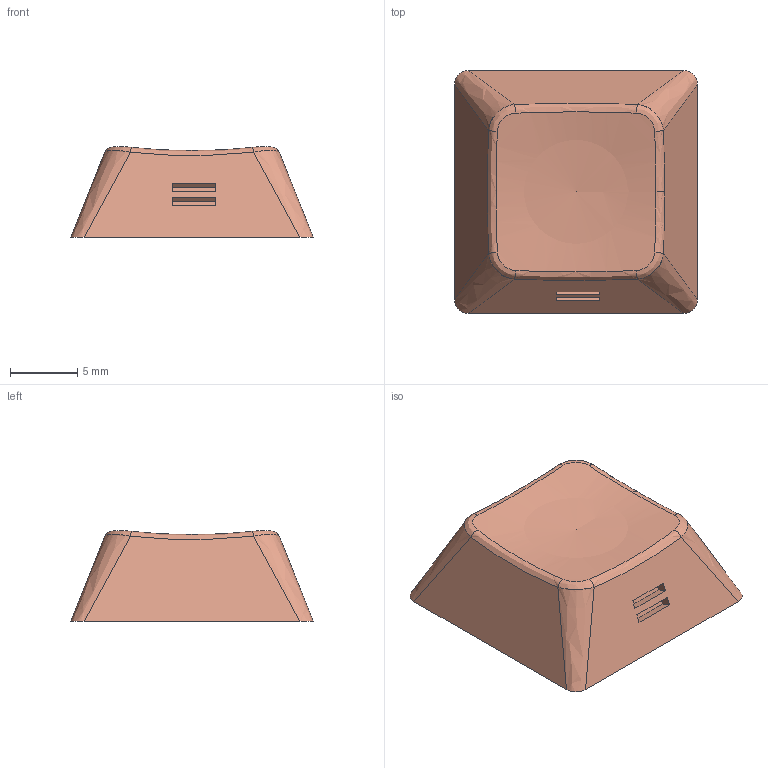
import cadquery as cq
import math

base_width = 18.0
base_corner_radius = 1.0
loft_height = 7.0
wall_inset = 2.8
loft_top_width = base_width - 2 * wall_inset
loft_top_corner_radius = 2.0
wall_tilt = math.degrees(math.atan2(wall_inset, loft_height))

dish_radius = 41.0
dish_bottom_height = 6.015
rim_fillet = 0.6

groove_offset_x = 0.15
groove_length = 3.2
groove_width = 0.62
groove_depth = 0.8
groove_pitch = 1.15
groove_pair_height = 3.18


def rounded_square(width, corner_radius):
    return cq.Sketch().rect(width, width).vertices().fillet(corner_radius)


def make_skirt():
    return (
        cq.Workplane("XY")
        .placeSketch(
            rounded_square(base_width, base_corner_radius),
            rounded_square(loft_top_width, loft_top_corner_radius).moved(
                cq.Location(cq.Vector(0, 0, loft_height))
            ),
        )
        .loft(ruled=True)
    )


def make_dish():
    return cq.Workplane("XY").sphere(dish_radius).translate((0, 0, dish_bottom_height + dish_radius))


def make_front_grooves():
    """Two level grooves, one above the other, entering along the front wall's normal."""
    wall_y = -base_width / 2 + groove_pair_height * wall_inset / loft_height
    grooves = (
        cq.Workplane("XZ")
        .rarray(1, groove_pitch, 1, 2)
        .rect(groove_length, groove_width)
        .extrude(groove_depth, both=True)
    )
    tilted_grooves = grooves.rotate((0, 0, 0), (1, 0, 0), -wall_tilt)
    return tilted_grooves.translate((groove_offset_x, wall_y, groove_pair_height))


dished_cap = make_skirt().cut(make_dish())
rounded_cap = dished_cap.faces("%SPHERE").edges().fillet(rim_fillet)
result = rounded_cap.cut(make_front_grooves())